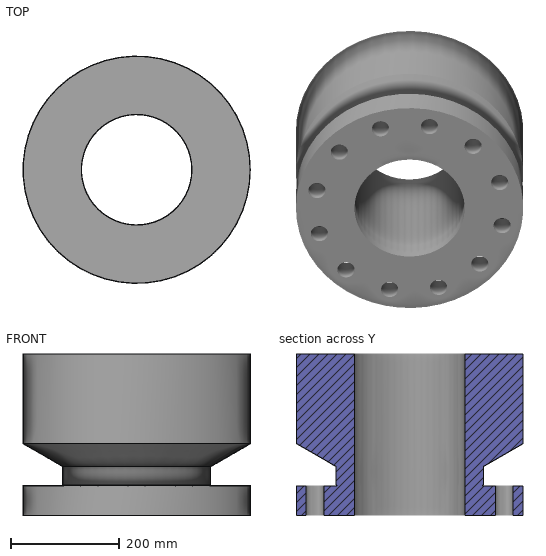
import cadquery as cq
import math

outer_diameter = 419.1
total_height = 298.45
bore_diameter = 203.2

flange_thickness = 55.6

neck_diameter = 273.05
neck_base_diameter = 269.875
shoulder_start_height = 90.5
slope_angle = 30.0

bolt_count = 12
bolt_circle_diameter = 349.25
bolt_hole_diameter = 31.75
first_bolt_angle = 0.0

outer_radius = outer_diameter / 2
neck_radius = neck_diameter / 2
neck_base_radius = neck_base_diameter / 2
bore_radius = bore_diameter / 2
slope = math.tan(math.radians(slope_angle))
bevel_top_height = flange_thickness + (neck_radius - neck_base_radius) * slope
shoulder_end_height = shoulder_start_height + (outer_radius - neck_radius) * slope


def make_body():
    """Revolve the half section of the flange, neck, shoulder and upper cylinder about Z."""
    return (
        cq.Workplane("XZ")
        .moveTo(bore_radius, 0)
        .lineTo(outer_radius, 0)
        .lineTo(outer_radius, flange_thickness)
        .lineTo(neck_base_radius, flange_thickness)
        .lineTo(neck_radius, bevel_top_height)
        .lineTo(neck_radius, shoulder_start_height)
        .lineTo(outer_radius, shoulder_end_height)
        .lineTo(outer_radius, total_height)
        .lineTo(bore_radius, total_height)
        .close()
        .revolve(360, (0, 0, 0), (0, 1, 0))
    )


def make_bolt_holes():
    """Ring of cylinders that cut through the flange only."""
    return (
        cq.Workplane("XY")
        .polarArray(bolt_circle_diameter / 2, first_bolt_angle, 360, bolt_count)
        .circle(bolt_hole_diameter / 2)
        .extrude(flange_thickness)
    )


result = make_body().cut(make_bolt_holes())